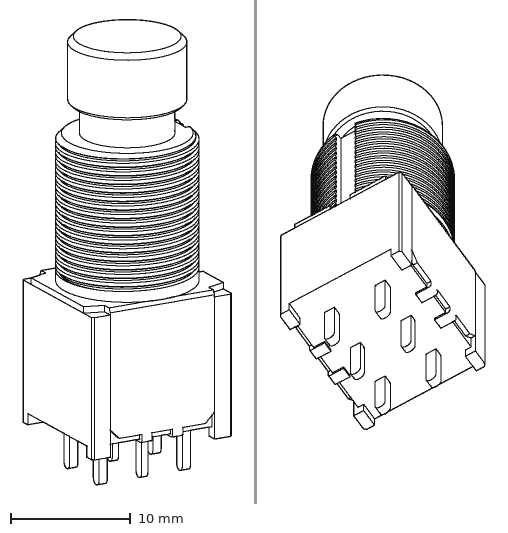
import cadquery as cq
import math

total_height = 38.0
case_x = 12.0
case_y = 13.4
case_bottom = 4.5
case_top = 16.0
case_corner_chamfer = 0.2

leg_bottom = 3.5
leg_x = 1.0
post_y = 1.7

plate_top = 16.55
side_thickness = 0.4
side_bottom = 5.0
side_width = case_y - 2 * post_y
side_corner_chamfer = 0.87
bend_chamfer_x = 0.2
bend_chamfer_z = 0.38
corner_cut_inner_x = 5.0
corner_cut_outer_x = 4.5
key_width = 1.98
notch_floor_y = 6.0

tab_width = 1.0
tab_offset_y = 1.5
tab_length = 1.52
tab_drop = 0.23

bushing_diameter = 12.0
bushing_top = 29.5
collar_top = 17.48
bushing_chamfer = 0.5
thread_turns = 16
thread_pitch = (bushing_top - collar_top) / thread_turns
thread_depth = 0.25
groove_mouth = 0.4
groove_root = 0.15
groove_phase_z = 27.55
keyway_floor_y = 5.0

cap_diameter = 10.0
stem_diameter = 7.98
cap_bottom = 32.2
cap_top_chamfer = 0.5
cap_bottom_chamfer = 0.25

pin_width = 1.0
pin_spacing_x = 5.0
pin_spacing_y = 4.0
outer_pin_thickness = 0.8
middle_pin_thickness = 0.6


def block(x_range, y_range, z_range):
    """Box given by its lower and upper limit along each axis."""
    sizes = [high - low for low, high in (x_range, y_range, z_range)]
    corner = (x_range[0], y_range[0], z_range[0])
    return cq.Workplane("XY").box(*sizes, centered=False).translate(corner)


def cylinder(diameter, bottom, top):
    return cq.Workplane("XY").workplane(offset=bottom).circle(diameter / 2).extrude(top - bottom)


def make_case():
    case = (
        cq.Workplane("XY")
        .workplane(offset=leg_bottom)
        .rect(case_x, case_y)
        .extrude(case_top - leg_bottom)
        .edges("|Z")
        .chamfer(case_corner_chamfer)
    )
    under_height = case_bottom - leg_bottom
    for clear_x, clear_y in ((case_x - 2 * leg_x, case_y), (case_x, side_width)):
        case = case.cut(
            cq.Workplane("XY").workplane(offset=leg_bottom).rect(clear_x, clear_y).extrude(under_height)
        )
    half_x = case_x / 2
    half_width = side_width / 2
    recess = block(
        (half_x - side_thickness, half_x), (-half_width, half_width), (case_bottom, case_top)
    )
    return case.cut(recess).cut(recess.mirror("YZ"))


def make_bracket_side():
    """Side of the bracket at +X, with its folded tabs."""
    half_x = case_x / 2
    half_width = side_width / 2
    side = block(
        (half_x - side_thickness, half_x), (-half_width, half_width), (side_bottom, plate_top)
    )
    side = side.edges("|X and <Z").chamfer(side_corner_chamfer)
    side = side.edges(">X and >Z").chamfer(bend_chamfer_x, bend_chamfer_z)
    tab_bottom = case_bottom - tab_drop
    for tab_y in (-tab_offset_y, tab_offset_y):
        y_range = (tab_y - tab_width / 2, tab_y + tab_width / 2)
        drop = block((half_x - side_thickness, half_x), y_range, (tab_bottom, side_bottom))
        fold = block((half_x - tab_length, half_x), y_range, (tab_bottom, case_bottom))
        tab = drop.union(fold).edges("|Y and >X and <Z").fillet(tab_drop)
        side = side.union(tab)
    return side


def make_bracket():
    inner_x = case_x / 2 - side_thickness
    half_y = case_y / 2
    half_width = side_width / 2
    quarter = [
        (inner_x, half_width),
        (corner_cut_inner_x, half_width),
        (corner_cut_outer_x, half_y),
    ]
    outline = (
        quarter
        + [(-x, y) for x, y in reversed(quarter)]
        + [(-x, -y) for x, y in quarter]
        + [(x, -y) for x, y in reversed(quarter)]
    )
    plate = cq.Workplane("XY").workplane(offset=case_top).polyline(outline).close()
    plate = plate.extrude(plate_top - case_top)
    notch = block(
        (-key_width / 2, key_width / 2), (notch_floor_y, half_y), (case_top, plate_top)
    )
    side = make_bracket_side()
    return plate.cut(notch).union(side).union(side.mirror("YZ"))


def make_threaded_rod():
    """Rod with a helical groove, longer at both ends than the thread of the bushing."""
    radius = bushing_diameter / 2
    turns_below = math.ceil((groove_phase_z - collar_top) / thread_pitch) + 1
    turns_above = math.ceil((bushing_top - groove_phase_z) / thread_pitch) + 1
    start_z = groove_phase_z - turns_below * thread_pitch
    end_z = groove_phase_z + turns_above * thread_pitch
    helix = cq.Wire.makeHelix(thread_pitch, end_z - start_z, radius, cq.Vector(0, 0, start_z))
    clearance = thread_depth / 2
    flank_slope = (groove_mouth - groove_root) / 2 / thread_depth
    half_root = groove_root / 2
    half_mouth = groove_mouth / 2 + clearance * flank_slope
    profile = [
        (radius - thread_depth, start_z - half_root),
        (radius - thread_depth, start_z + half_root),
        (radius + clearance, start_z + half_mouth),
        (radius + clearance, start_z - half_mouth),
    ]
    groove = cq.Workplane("XZ").polyline(profile).close().sweep(cq.Workplane(helix), isFrenet=True)
    rod = cylinder(bushing_diameter, start_z - thread_pitch, end_z + thread_pitch)
    return rod.cut(groove)


def make_bushing():
    threaded = cylinder(bushing_diameter, collar_top, bushing_top)
    threaded = threaded.faces(">Z").chamfer(bushing_chamfer)
    threaded = threaded.intersect(make_threaded_rod())
    bushing = threaded.union(cylinder(bushing_diameter, plate_top, collar_top))
    keyway = block(
        (-key_width / 2, key_width / 2),
        (keyway_floor_y, bushing_diameter / 2),
        (plate_top, bushing_top),
    )
    bore = cylinder(stem_diameter, plate_top, bushing_top)
    return bushing.cut(keyway).cut(bore)


def make_button():
    cap = cylinder(cap_diameter, cap_bottom, total_height)
    cap = cap.faces(">Z").chamfer(cap_top_chamfer)
    cap = cap.faces("<Z").chamfer(cap_bottom_chamfer)
    return cap.union(cylinder(stem_diameter, plate_top, cap_bottom))


def make_pin(x, y, thickness):
    """Flat pin with a fully rounded tip, standing below the case."""
    radius = pin_width / 2
    return (
        cq.Workplane("XZ", origin=(x, y, 0))
        .moveTo(-radius, case_bottom)
        .lineTo(-radius, radius)
        .threePointArc((0, 0), (radius, radius))
        .lineTo(radius, case_bottom)
        .close()
        .extrude(thickness / 2, both=True)
    )


case = make_case()
bracket = make_bracket()
bushing = make_bushing()
button = make_button()
pins = []
for pin_x in (-pin_spacing_x / 2, pin_spacing_x / 2):
    for row in (-1, 0, 1):
        thickness = middle_pin_thickness if row == 0 else outer_pin_thickness
        pins.append(make_pin(pin_x, row * pin_spacing_y, thickness))

result = cq.Compound.makeCompound(
    [case.val(), bracket.val(), bushing.val(), button.val(), *[pin.val() for pin in pins]]
)